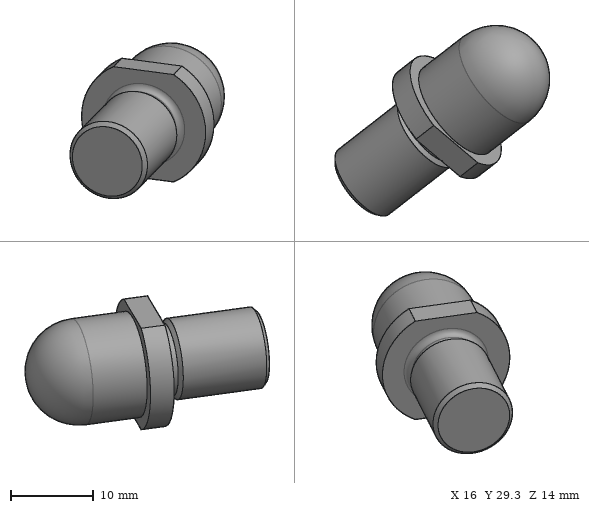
import cadquery as cq
import math

total_length = 29.3
stud_length = 13.0
flange_thickness = 3.0
neck_length = 1.5
end_chamfer = 0.5

head_radius = 13.0 / 2
flange_radius = 16.0 / 2
stud_radius = 10.0 / 2
neck_radius = 9.0 / 2
neck_fillet = 0.8

flat_width = 14.0

stud_end = -stud_length
head_tip = total_length - stud_length
dome_start = head_tip - head_radius
dome_mid = head_radius * math.sqrt(0.5)
fillet_mid = neck_fillet * (1 - math.sqrt(0.5))
relief_taper = stud_radius - neck_radius


def revolve_about_y(profile):
    return profile.close().revolve(360, (0, 0, 0), (0, 1, 0))


def make_head():
    """Cylindrical head with a hemispherical tip."""
    profile = (
        cq.Workplane("XY")
        .lineTo(head_radius, 0)
        .lineTo(head_radius, dome_start)
        .threePointArc((dome_mid, dome_start + dome_mid), (0, head_tip))
    )
    return revolve_about_y(profile)


def make_flange():
    """Round flange with two flats facing +Z and -Z."""
    disc = cq.Workplane("XZ").circle(flange_radius).extrude(-flange_thickness)
    flats = cq.Workplane("XZ").rect(2 * flange_radius, flat_width).extrude(-flange_thickness)
    return disc.intersect(flats)


def make_stud():
    """Chamfered stud with a filleted undercut next to the flange."""
    profile = (
        cq.Workplane("XY")
        .moveTo(0, stud_end)
        .lineTo(stud_radius - end_chamfer, stud_end)
        .lineTo(stud_radius, stud_end + end_chamfer)
        .lineTo(stud_radius, -neck_length - relief_taper)
        .lineTo(neck_radius, -neck_length)
        .lineTo(neck_radius, -neck_fillet)
        .threePointArc((neck_radius + fillet_mid, -fillet_mid), (neck_radius + neck_fillet, 0))
        .lineTo(0, 0)
    )
    return revolve_about_y(profile)


result = make_head().union(make_flange()).union(make_stud())